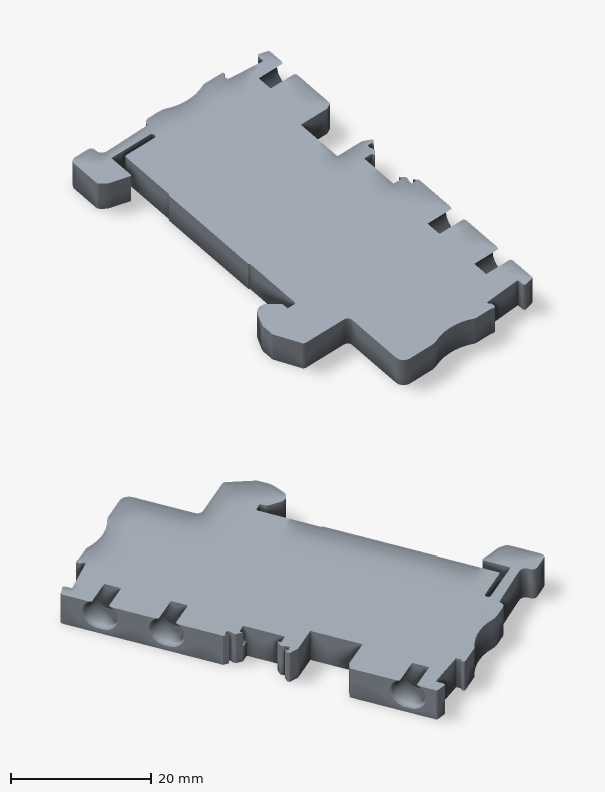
import cadquery as cq
import math

length = 61.1
height = 35.55
thickness = 5.2

body_left = 0.85
body_right = 61.0
shoulder_y = 27.8
shoulder_dip = 0.35
left_base_y = 12.9
right_base_y = 10.5
rail_y = 6.5
pad_drop = 0.2
pad_left = 14.35
pad_right = 32.0

lip_y = 33.85
lip_drop = 0.25

bay_left = 15.9
bay_right = 23.95
bay_floor_y = 29.65
marker_mid = 30.0
marker_half = 2.7
marker_floor_y = 32.25
marker_ledge_y = 33.7
marker_shelf_extra = 0.55
marker_shelf_depth = 2.55

leg_left = 2.0
leg_right = 3.5
leg_bend_y = 6.3
slot_width = 0.9
slot_top_y = 12.4
slot_corner = 0.4
foot_top_y = 4.75
foot_heel_y = 4.05

hook_neck = 42.2
hook_top_y = 4.95
hook_right = 49.05

grip_radius = 8.25
grip_depth = 0.9
grip_y = 20.35
grip_upper_blend = 0.6
grip_lower_blend = 3.05

bore_centers = (6.35, 43.7, 54.0)
bore_flat = 0.75
bore_radius = 2.2
bore_mouth = 2.6
bore_length = 4.65
bore_chamfer = 0.2


def rounded_outline(corners):
    """Closed wire through (x, y, radius) corners, each rounded by its radius."""
    path = None
    count = len(corners)
    for i, (x, y, radius) in enumerate(corners):
        corner = cq.Vector(x, y)
        to_previous = (cq.Vector(*corners[i - 1][:2]) - corner).normalized()
        to_next = (cq.Vector(*corners[(i + 1) % count][:2]) - corner).normalized()
        half_angle = to_previous.getAngle(to_next) / 2
        setback = radius / math.tan(half_angle)
        start = corner + to_previous * setback
        if path is None:
            path = cq.Workplane("XY").moveTo(start.x, start.y)
        else:
            path = path.lineTo(start.x, start.y)
        if radius > 0:
            bisector = (to_previous + to_next).normalized()
            middle = corner + bisector * (radius / math.sin(half_angle) - radius)
            end = corner + to_next * setback
            path = path.threePointArc((middle.x, middle.y), (end.x, end.y))
    return path.close()


def marker_clip(side):
    """Snap lip beside the marker recess, from its tip to the recess floor; side is -1 or 1."""
    offsets = [
        (4.95, height, 0),
        (4.35, height - 0.6, 0),
        (4.9, height - 0.4, 0),
        (4.9, height - 1.3, 0),
        (4.2, height - 1.3, 0),
        (4.0, height - 1.1, 0),
        (3.4, height - 1.1, 0),
        (marker_half, marker_ledge_y, 0),
        (marker_half, marker_floor_y, 0),
    ]
    return [(marker_mid + side * x, y, radius) for x, y, radius in offsets]


def housing():
    """Full-thickness body; each stretch of the outline runs counterclockwise as (x, y, radius)."""
    left_side = [
        (1.85, height, 0.3),
        (1.35, lip_y, 0),
        (1.65, lip_y - lip_drop, 0),
        (2.9, lip_y - lip_drop, 0),
        (2.3, shoulder_y - shoulder_dip, 0),
        (1.6, shoulder_y - shoulder_dip, 0),
        (1.3, shoulder_y, 0),
        (body_left, shoulder_y, 0.2),
        (body_left, left_base_y, 0.9),
        (1.85, left_base_y, 0),
    ]
    left_foot = [
        (leg_left, leg_bend_y, 0),
        (leg_left, foot_heel_y, 1.0),
        (0, foot_heel_y, 0.75),
        (0, 0, 0.9),
        (6.05, 0, 0.6),
        (6.95, 1.1, 1.85),
        (8.0, foot_top_y, 0.2),
        (leg_right, foot_top_y, 0),
        (leg_right, slot_top_y, slot_corner),
        (leg_right + slot_width, slot_top_y, slot_corner),
    ]
    underside = [
        (leg_right + slot_width, rail_y, 0.2),
        (pad_left, rail_y, 0),
        (pad_left, rail_y - pad_drop, 0),
        (pad_right, rail_y - pad_drop, 0),
        (pad_right, rail_y, 0),
    ]
    right_foot = [
        (hook_neck, rail_y, 0.3),
        (hook_neck, hook_top_y, 0),
        (41.1, hook_top_y, 0.5),
        (38.4, 1.85, 1.5),
        (42.5, 0, 1.85),
        (44.7, 0, 0),
        (hook_right, 2.25, 0.6),
        (hook_right, right_base_y, 0.85),
    ]
    right_side = [
        (body_right, right_base_y, 1.45),
        (body_right, shoulder_y - 2 * shoulder_dip, 0),
        (length, shoulder_y - shoulder_dip, 0),
        (body_right, shoulder_y, 0),
        (60.3, shoulder_y, 0),
        (60.0, shoulder_y - shoulder_dip, 0),
        (59.65, shoulder_y - shoulder_dip, 0),
        (59.15, lip_y - lip_drop, 0),
        (60.25, lip_y - lip_drop, 0),
        (60.55, lip_y, 0),
        (60.1, height, 0.3),
    ]
    top_edge = (
        marker_clip(1)
        + marker_clip(-1)[::-1]
        + [
            (24.6, height, 0.2),
            (bay_right, 34.15, 0),
            (bay_right, bay_floor_y, 0),
            (bay_left, bay_floor_y, 0),
            (bay_left, 34.5, 0),
            (15.35, height, 0),
        ]
    )
    outline = left_side + left_foot + underside + right_foot + right_side + top_edge
    return rounded_outline(outline).extrude(thickness)


def cut_grip(body, edge_x, side):
    """Cut the shallow arc into one end and blend its two ridges; side is -1 or 1."""
    center_x = edge_x + side * (grip_radius - grip_depth)
    half_chord = math.sqrt(grip_radius**2 - (grip_radius - grip_depth) ** 2)
    body = body.cut(cq.Workplane("XY").center(center_x, grip_y).circle(grip_radius).extrude(thickness))
    for y, blend in ((grip_y + half_chord, grip_upper_blend), (grip_y - half_chord, grip_lower_blend)):
        ridge = cq.selectors.NearestToPointSelector((edge_x, y, thickness / 2))
        body = body.edges(ridge).fillet(blend)
    return body


def wire_bore(x):
    side_reach = (bore_mouth - bore_flat) / 2
    center_z = thickness - math.sqrt(bore_radius**2 - side_reach**2)
    width = bore_flat + 2 * bore_radius
    mouth = cq.Workplane("XZ", origin=(x, height, center_z))
    bore = mouth.slot2D(width, 2 * bore_radius).extrude(bore_length)
    countersink = mouth.slot2D(width + 2 * bore_chamfer, 2 * (bore_radius + bore_chamfer))
    return bore.union(countersink.extrude(bore_chamfer, taper=45))


def marker_shelf():
    """Wider upper part of the marker recess."""
    width = 2 * (marker_half + marker_shelf_extra)
    depth_y = marker_ledge_y - marker_floor_y
    mid_y = marker_floor_y + depth_y / 2
    shelf = cq.Workplane("XY", origin=(marker_mid, mid_y, thickness - marker_shelf_depth))
    return shelf.rect(width, depth_y).extrude(marker_shelf_depth)


result = housing()
result = cut_grip(result, body_left, -1)
result = cut_grip(result, body_right, 1)
for bore_x in bore_centers:
    result = result.cut(wire_bore(bore_x))
result = result.cut(marker_shelf())